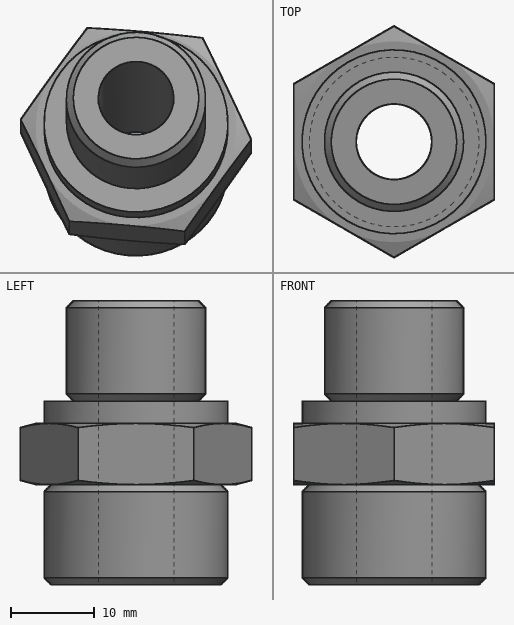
import cadquery as cq
import math

total_height = 34.0
hex_bottom = 12.0
hex_top = 19.3
collar_top = 22.0

bore_diameter = 9.0
body_diameter = 22.0
spigot_diameter = 16.65
spigot_end_diameter = 15.0
hex_across_flats = 24.0

cone_height = 0.85
hex_chamfer_angle = 15.0

body_radius = body_diameter / 2
spigot_radius = spigot_diameter / 2
spigot_end_radius = spigot_end_diameter / 2
body_end_radius = body_radius - cone_height


def turned_body():
    """Lower cylinder, collar and upper spigot, revolved about Z."""
    profile = [
        (0, 0),
        (body_end_radius, 0),
        (body_radius, cone_height),
        (body_radius, hex_bottom - cone_height),
        (body_end_radius, hex_bottom),
        (body_end_radius, hex_top),
        (body_radius, hex_top),
        (body_radius, collar_top),
        (spigot_end_radius, collar_top),
        (spigot_radius, collar_top + cone_height),
        (spigot_radius, total_height - cone_height),
        (spigot_end_radius, total_height),
        (0, total_height),
    ]
    return cq.Workplane("XZ").polyline(profile).close().revolve(360, (0, 0), (0, 1))


def chamfered_hexagon():
    """Wrench hexagon with flats facing X and conically trimmed corners."""
    flat_radius = hex_across_flats / 2
    corner_radius = flat_radius / math.cos(math.radians(30))
    corner_drop = (corner_radius - flat_radius) * math.tan(math.radians(hex_chamfer_angle))
    prism = (
        cq.Workplane("XY", origin=(0, 0, hex_bottom))
        .transformed(rotate=(0, 0, 90))
        .polygon(6, 2 * corner_radius)
        .extrude(hex_top - hex_bottom)
    )
    envelope = (
        cq.Workplane("XZ")
        .moveTo(0, hex_bottom)
        .lineTo(flat_radius, hex_bottom)
        .lineTo(corner_radius, hex_bottom + corner_drop)
        .lineTo(corner_radius, hex_top - corner_drop)
        .lineTo(flat_radius, hex_top)
        .lineTo(0, hex_top)
        .close()
        .revolve(360, (0, 0), (0, 1))
    )
    return prism.intersect(envelope)


bore = cq.Workplane("XY").circle(bore_diameter / 2).extrude(total_height)

result = turned_body().union(chamfered_hexagon()).cut(bore)